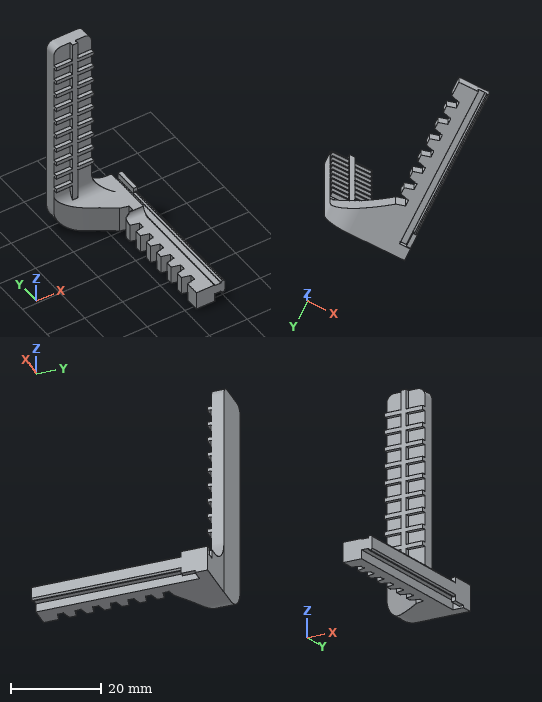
import cadquery as cq
import math

total_height = 54.0
plate_width = 10.0
plate_front = -3.0
plate_back = 0.05
plate_corner_radius = 2.0

arm_length = 42.0
arm_right = 20.0
arm_height = 6.8
outer_bend_radius = 6.0
side_bend_radius = 6.0
front_bend_radius = 4.0

web_angle = 30.0
web_straight_width = 5.6
web_end_y = -10.7

rib_front = -4.0
spine_width = 1.4
cross_rib_thickness = 1.0
cross_rib_count = 10
cross_rib_pitch = 4.0
first_cross_rib_z = 12.85

tooth_tip_x = 12.4
tooth_depth = 2.15
tooth_pitch = math.pi * 4 / 3
pressure_angle = 14.5
gap_root_width = 1.4
gap_count = 7
first_gap_y = -12.0

step_y = -13.0
rack_height = 4.85
step_radius = arm_height - rack_height

neck_left = 17.25
lip_left = 18.9
mid_height = arm_height / 2
neck_thickness = 2.55
lip_thickness = 3.6
lip_chamfer = 0.4
lip_block_length = 6.35
lip_block_thickness = 5.75
back_wall_thickness = 3.0


def box(x_range, y_range, z_range):
    """Axis-aligned box between the given limits."""
    size = [high - low for low, high in (x_range, y_range, z_range)]
    corner = (x_range[0], y_range[0], z_range[0])
    return cq.Workplane("XY").box(*size, centered=False).translate(corner)


def front_profile():
    """L-shape in XZ with the large bends, as deep as the whole part."""
    profile = (
        cq.Workplane("XZ", origin=(0, plate_back, 0))
        .moveTo(outer_bend_radius, 0)
        .lineTo(arm_right, 0)
        .lineTo(arm_right, arm_height)
        .lineTo(plate_width + side_bend_radius, arm_height)
        .radiusArc((plate_width, arm_height + side_bend_radius), side_bend_radius)
        .lineTo(plate_width, total_height - plate_corner_radius)
        .radiusArc((plate_width - plate_corner_radius, total_height), -plate_corner_radius)
        .lineTo(plate_corner_radius, total_height)
        .radiusArc((0, total_height - plate_corner_radius), -plate_corner_radius)
        .lineTo(0, outer_bend_radius)
        .radiusArc((outer_bend_radius, 0), -outer_bend_radius)
        .close()
    )
    return profile.extrude(arm_length + plate_back)


def side_profile():
    """L-shape in YZ with the front bend and the step down to the rack."""
    profile = (
        cq.Workplane("YZ")
        .moveTo(plate_back, 0)
        .lineTo(-arm_length, 0)
        .lineTo(-arm_length, rack_height)
        .lineTo(step_y - step_radius, rack_height)
        .radiusArc((step_y, arm_height), -step_radius)
        .lineTo(plate_front - front_bend_radius, arm_height)
        .radiusArc((plate_front, arm_height + front_bend_radius), -front_bend_radius)
        .lineTo(plate_front, total_height)
        .lineTo(plate_back, total_height)
        .close()
    )
    return profile.extrude(arm_right)


def plan_profile():
    """Outline in XY: plate, slanted web and arm, before the teeth are cut."""
    web_rise = web_straight_width * math.tan(math.radians(web_angle))
    profile = (
        cq.Workplane("XY")
        .moveTo(tooth_tip_x, -arm_length)
        .lineTo(arm_right, -arm_length)
        .lineTo(arm_right, 0)
        .lineTo(plate_width, 0)
        .lineTo(plate_width, plate_back)
        .lineTo(0, plate_back)
        .lineTo(0, plate_front)
        .lineTo(web_straight_width, plate_front - web_rise)
        .tangentArcPoint((tooth_tip_x, web_end_y), relative=False)
        .close()
    )
    return profile.extrude(total_height)


def grip_ribs():
    """Vertical spine and evenly spaced cross ribs; the lowest spans only the left half."""
    center_x = plate_width / 2
    spine_x = (center_x - spine_width / 2, center_x + spine_width / 2)
    depth = (rib_front, plate_front)
    full_width = (0, plate_width)
    left_half = (0, center_x)
    ribs = box(spine_x, depth, (arm_height, total_height))
    for index in range(cross_rib_count):
        center_z = first_cross_rib_z + index * cross_rib_pitch
        rib_z = (center_z - cross_rib_thickness / 2, center_z + cross_rib_thickness / 2)
        rib_x = left_half if index == 0 else full_width
        ribs = ribs.union(box(rib_x, depth, rib_z))
    return ribs


def tooth_gaps():
    """Tapered gaps between the rack teeth, through the arm height."""
    half_root = gap_root_width / 2
    half_mouth = half_root + tooth_depth * math.tan(math.radians(pressure_angle))
    root_x = tooth_tip_x + tooth_depth
    gaps = cq.Workplane("XY")
    for index in range(gap_count):
        center_y = first_gap_y - index * tooth_pitch
        gaps = (
            gaps.moveTo(tooth_tip_x, center_y - half_mouth)
            .lineTo(root_x, center_y - half_root)
            .lineTo(root_x, center_y + half_root)
            .lineTo(tooth_tip_x, center_y + half_mouth)
            .close()
        )
    return gaps.extrude(arm_height)


def guide_rail():
    """Neck and lip along the arm, with the taller lip block and the back wall."""
    full_length = (-arm_length, 0)
    neck_z = (mid_height - neck_thickness / 2, mid_height + neck_thickness / 2)
    lip_z = (mid_height - lip_thickness / 2, mid_height + lip_thickness / 2)
    block_z = (mid_height - lip_block_thickness / 2, mid_height + lip_block_thickness / 2)
    neck = box((neck_left, lip_left), full_length, neck_z)
    lip = box((lip_left, arm_right), full_length, lip_z).edges("|Y").chamfer(lip_chamfer)
    block = box((lip_left, arm_right), (-lip_block_length, 0), block_z)
    back_wall = box((neck_left, arm_right), (-back_wall_thickness, 0), (0, neck_z[0]))
    return neck.union(lip).union(block).union(back_wall)


body = front_profile().intersect(side_profile()).intersect(plan_profile())
body = body.cut(tooth_gaps())
rail_space = box((neck_left, arm_right), (-arm_length, 0), (0, arm_height))
body = body.cut(rail_space).union(guide_rail())
result = body.union(grip_ribs())